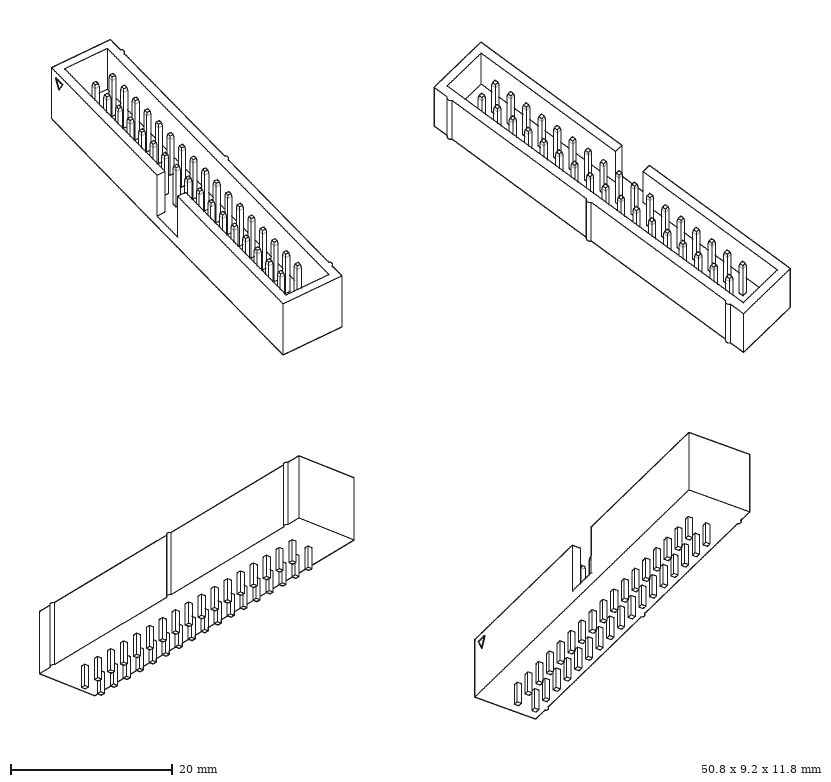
import cadquery as cq

pitch = 2.54
pins_per_row = 17
row_count = 2
pin_size = 0.64
pin_tip_size = 0.48
pin_tip_height = 0.5
pin_top_gap = 0.35
tail_length = 3.0

end_margin = 5.1
housing_length = (pins_per_row - 1) * pitch + 2 * end_margin
housing_width = 8.85
housing_height = housing_width
end_wall = 1.1
side_wall = 1.22
cavity_depth = 7.05

key_slot_width = 4.5

pitches_between_ribs = 9
rib_spacing = pitches_between_ribs * pitch
rib_width = 0.8
rib_projection = 0.25

mark_size = 1.5
mark_projection = 0.1
mark_end_offset = 1.0
mark_top_offset = 0.95

floor_height = housing_height - cavity_depth


def make_housing():
    body = cq.Workplane("XY").box(housing_length, housing_width, housing_height, centered=(True, True, False))
    cavity = (
        cq.Workplane("XY")
        .workplane(offset=floor_height)
        .rect(housing_length - 2 * end_wall, housing_width - 2 * side_wall)
        .extrude(cavity_depth)
    )
    key_slot = (
        cq.Workplane("XY")
        .workplane(offset=floor_height)
        .center(0, -housing_width / 4)
        .rect(key_slot_width, housing_width / 2)
        .extrude(cavity_depth)
    )
    return body.cut(cavity).cut(key_slot)


def make_ribs():
    outer_face = housing_width / 2
    ribs = cq.Workplane("XY")
    for x in (-rib_spacing, 0, rib_spacing):
        rib = (
            cq.Workplane("XY")
            .moveTo(x - rib_width / 2, outer_face)
            .threePointArc((x, outer_face + rib_projection), (x + rib_width / 2, outer_face))
            .close()
            .extrude(housing_height)
        )
        ribs = ribs.add(rib)
    return ribs


def make_pin_one_mark():
    left = -housing_length / 2 + mark_end_offset
    top = housing_height - mark_top_offset
    corners = [(left, top), (left + mark_size, top), (left + mark_size / 2, top - mark_size)]
    return (
        cq.Workplane("XZ", origin=(0, -housing_width / 2, 0))
        .polyline(corners)
        .close()
        .extrude(mark_projection)
    )


def make_pins():
    tip_base = housing_height - pin_top_gap - pin_tip_height
    grid = [
        ((column - (pins_per_row - 1) / 2) * pitch, (row - (row_count - 1) / 2) * pitch)
        for row in range(row_count)
        for column in range(pins_per_row)
    ]
    shank = (
        cq.Workplane("XY")
        .workplane(offset=-tail_length)
        .rect(pin_size, pin_size)
        .extrude(tail_length + tip_base)
    )
    tip = (
        cq.Workplane("XY")
        .workplane(offset=tip_base)
        .rect(pin_size, pin_size)
        .workplane(offset=pin_tip_height)
        .rect(pin_tip_size, pin_tip_size)
        .loft()
    )
    pin = shank.union(tip)
    pins = cq.Workplane("XY")
    for x, y in grid:
        pins = pins.add(pin.translate((x, y, 0)))
    return pins


result = make_housing()
for feature in (make_ribs(), make_pin_one_mark(), make_pins()):
    for solid in feature.vals():
        result = result.union(cq.Workplane(solid))